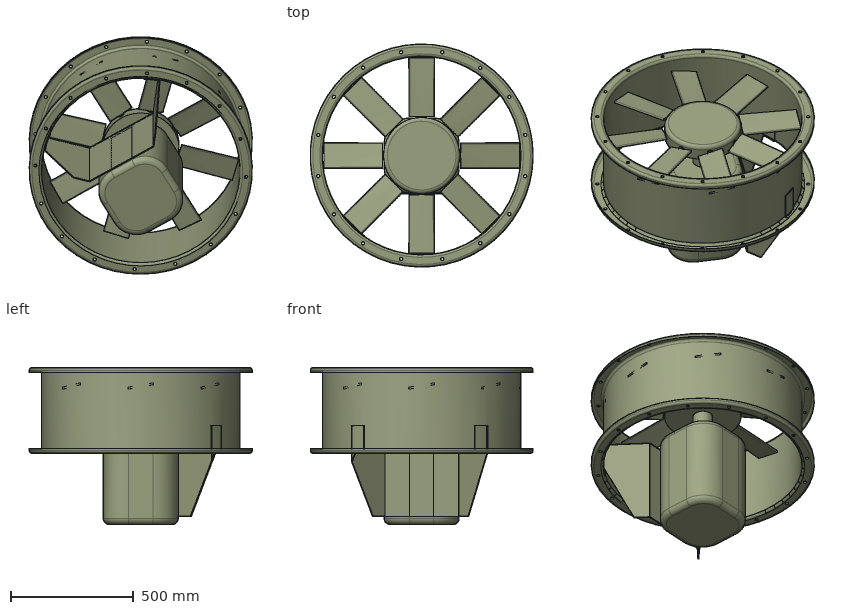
import cadquery as cq
import math

CASING_HEIGHT = 350.0
CASING_INNER_RADIUS = 404.0
SHEET = 1.2
LIP_OUTER_RADIUS = 455.0
LIP_HEIGHT = 20.0
BEND_INSIDE = 10.0
BEND_OUTSIDE = BEND_INSIDE + SHEET
CASING_OUTER_RADIUS = CASING_INNER_RADIUS + SHEET

BOLT_COUNT = 16
BOLT_DIAMETER = 12.0
BOLT_CIRCLE_RADIUS = 430.0

MOTOR_WIDTH = 306.0
MOTOR_FLAT_WIDTH = 98.0
MOTOR_TOP = 120.0
MOTOR_BOTTOM = -290.0
MOTOR_EDGE_RADIUS = 25.0

HUB_DIAMETER = 312.0
HUB_TOP = 315.0
HUB_HEIGHT = 64.0
HUB_EDGE_RADIUS = 16.0
SHAFT_DIAMETER = 80.8

BLADE_COUNT = 8
BLADE_CHORD = 107.0
BLADE_THICKNESS = 8.0
BLADE_ROOT_RADIUS = 159.0
BLADE_TIP_RADIUS = 399.0
BLADE_ROOT_PITCH = 15.0
BLADE_TIP_PITCH = 10.0
BLADE_STUB_DIAMETER = 24.0
BLADE_TIP_DROP = 8.0
BLADE_ROOT_HEIGHT = HUB_TOP - HUB_HEIGHT / 2
BLADE_TIP_HEIGHT = BLADE_ROOT_HEIGHT - BLADE_TIP_DROP

BRACKET_THICKNESS = 4.0
BRACKET_TOP = 113.0
BRACKET_BOTTOM = -257.0
LEFT_WING_ANGLE = 45.0
LEFT_WING_BOTTOM_REACH = 68.0
LEFT_WING_EDGE_SLOPE = 0.54
RIGHT_WING_ANGLE = 38.0
RIGHT_WING_BOTTOM_REACH = 64.0
RIGHT_WING_EDGE_SLOPE = 0.485
TAB_OUTER_RADIUS = 406.0
TAB_LENGTH = 63.0


def make_casing():
    """Revolve the bent sheet section: outer skin down one side, inner skin back up."""
    top = CASING_HEIGHT
    lip_inner_radius = LIP_OUTER_RADIUS - SHEET
    flat_outer = LIP_OUTER_RADIUS - BEND_OUTSIDE
    flat_inner = CASING_INNER_RADIUS + BEND_OUTSIDE
    section = (
        cq.Workplane("XZ")
        .moveTo(LIP_OUTER_RADIUS, top - LIP_HEIGHT)
        .lineTo(LIP_OUTER_RADIUS, top - BEND_OUTSIDE)
        .tangentArcPoint((flat_outer, top), relative=False)
        .lineTo(flat_inner, top)
        .tangentArcPoint((CASING_INNER_RADIUS, top - BEND_OUTSIDE), relative=False)
        .lineTo(CASING_INNER_RADIUS, BEND_OUTSIDE)
        .tangentArcPoint((flat_inner, 0), relative=False)
        .lineTo(flat_outer, 0)
        .tangentArcPoint((LIP_OUTER_RADIUS, BEND_OUTSIDE), relative=False)
        .lineTo(LIP_OUTER_RADIUS, LIP_HEIGHT)
        .lineTo(lip_inner_radius, LIP_HEIGHT)
        .lineTo(lip_inner_radius, BEND_OUTSIDE)
        .tangentArcPoint((flat_outer, SHEET), relative=False)
        .lineTo(flat_inner, SHEET)
        .tangentArcPoint((CASING_OUTER_RADIUS, BEND_OUTSIDE), relative=False)
        .lineTo(CASING_OUTER_RADIUS, top - BEND_OUTSIDE)
        .tangentArcPoint((flat_inner, top - SHEET), relative=False)
        .lineTo(flat_outer, top - SHEET)
        .tangentArcPoint((lip_inner_radius, top - BEND_OUTSIDE), relative=False)
        .lineTo(lip_inner_radius, top - LIP_HEIGHT)
        .close()
    )
    return section.revolve(360, (0, 0, 0), (0, 1, 0))


def make_bolt_holes():
    first_angle = 180.0 / BOLT_COUNT
    return (
        cq.Workplane("XY")
        .polarArray(BOLT_CIRCLE_RADIUS, first_angle, 360, BOLT_COUNT)
        .circle(BOLT_DIAMETER / 2)
        .extrude(CASING_HEIGHT)
    )


def make_motor():
    corner_radius = (MOTOR_WIDTH - MOTOR_FLAT_WIDTH) / 2
    return (
        cq.Workplane("XY")
        .workplane(offset=MOTOR_BOTTOM)
        .rect(MOTOR_WIDTH, MOTOR_WIDTH)
        .extrude(MOTOR_TOP - MOTOR_BOTTOM)
        .edges("|Z")
        .fillet(corner_radius)
        .faces("<Z or >Z")
        .edges()
        .fillet(MOTOR_EDGE_RADIUS)
    )


def make_hub():
    hub_bottom = HUB_TOP - HUB_HEIGHT
    hub = (
        cq.Workplane("XY")
        .workplane(offset=hub_bottom)
        .circle(HUB_DIAMETER / 2)
        .extrude(HUB_HEIGHT)
        .faces(">Z")
        .edges()
        .fillet(HUB_EDGE_RADIUS)
    )
    shaft = (
        cq.Workplane("XY")
        .workplane(offset=MOTOR_TOP)
        .circle(SHAFT_DIAMETER / 2)
        .extrude(hub_bottom - MOTOR_TOP)
    )
    return hub.union(shaft)


def blade_section(radius, height, pitch):
    """Round-ended blade section across the +X axis, its +Y edge raised by the pitch."""
    pitch_rad = math.radians(pitch)
    plane = cq.Plane(
        origin=(radius, 0, height),
        xDir=(0, math.cos(pitch_rad), math.sin(pitch_rad)),
        normal=(1, 0, 0),
    )
    return cq.Workplane(plane).slot2D(BLADE_CHORD, BLADE_THICKNESS).wires().val()


def make_blade():
    root = blade_section(BLADE_ROOT_RADIUS, BLADE_ROOT_HEIGHT, BLADE_ROOT_PITCH)
    tip = blade_section(BLADE_TIP_RADIUS, BLADE_TIP_HEIGHT, BLADE_TIP_PITCH)
    blade = cq.Workplane(cq.Solid.makeLoft([root, tip]))
    stub_start = HUB_DIAMETER / 2 - BLADE_STUB_DIAMETER / 2
    stub = (
        cq.Workplane("YZ")
        .workplane(offset=stub_start)
        .center(0, BLADE_ROOT_HEIGHT)
        .circle(BLADE_STUB_DIAMETER / 2)
        .extrude(BLADE_ROOT_RADIUS - stub_start)
    )
    return blade.union(stub)


def make_bracket(side, wing_angle, bottom_reach, edge_slope):
    """Bracket on the -Y motor face; side is -1 for the -X corner and +1 for the +X corner."""
    corner = MOTOR_WIDTH / 2
    foot_length = (MOTOR_WIDTH - MOTOR_FLAT_WIDTH) / 2
    foot = (
        cq.Workplane("XY")
        .workplane(offset=BRACKET_BOTTOM)
        .center(side * (corner - foot_length / 2), -corner - BRACKET_THICKNESS / 2)
        .rect(foot_length, BRACKET_THICKNESS)
        .extrude(BRACKET_TOP - BRACKET_BOTTOM)
    )

    angle = math.radians(wing_angle)
    outward = (side * math.sin(angle), -math.cos(angle), 0)
    fold = (side * (corner - BRACKET_THICKNESS / 2), -corner - BRACKET_THICKNESS / 2)
    fold_depth = fold[0] * outward[0] + fold[1] * outward[1]
    axis_offset = fold[0] * outward[1] - fold[1] * outward[0]
    wing_length = math.sqrt(TAB_OUTER_RADIUS**2 - axis_offset**2) - fold_depth
    slope_top = BRACKET_BOTTOM + (wing_length - bottom_reach) / edge_slope
    wing_plane = cq.Plane(
        origin=(fold[0], fold[1], 0),
        xDir=outward,
        normal=(outward[1], -outward[0], 0),
    )
    wing = (
        cq.Workplane(wing_plane)
        .moveTo(0, BRACKET_BOTTOM)
        .lineTo(bottom_reach, BRACKET_BOTTOM)
        .lineTo(wing_length, slope_top)
        .lineTo(wing_length, BRACKET_TOP)
        .lineTo(0, BRACKET_TOP)
        .close()
        .extrude(BRACKET_THICKNESS / 2, both=True)
    )

    tip = cq.Vector(fold[0], fold[1], 0) + cq.Vector(*outward) * wing_length
    radial = tip.normalized()
    tab_plane = cq.Plane(
        origin=(0, 0, 0),
        xDir=(-radial.y, radial.x, 0),
        normal=(radial.x, radial.y, 0),
    )
    taper_end = side * slope_top * edge_slope
    tab_end = -side * TAB_LENGTH
    tab_blank = (
        cq.Workplane(tab_plane)
        .moveTo(0, slope_top)
        .lineTo(taper_end, 0)
        .lineTo(tab_end, 0)
        .lineTo(tab_end, BRACKET_TOP)
        .lineTo(0, BRACKET_TOP)
        .close()
        .extrude(TAB_OUTER_RADIUS)
    )
    wall = (
        cq.Workplane("XY")
        .workplane(offset=slope_top)
        .circle(TAB_OUTER_RADIUS)
        .circle(TAB_OUTER_RADIUS - BRACKET_THICKNESS)
        .extrude(BRACKET_TOP - slope_top)
    )
    tab = tab_blank.intersect(wall)
    return foot.union(wing).union(tab)


def make_centre_plate():
    """Plate on the flat of the -Y motor face, joining the two bracket feet."""
    return (
        cq.Workplane("XY")
        .workplane(offset=BRACKET_BOTTOM)
        .center(0, -(MOTOR_WIDTH + BRACKET_THICKNESS) / 2)
        .rect(MOTOR_FLAT_WIDTH, BRACKET_THICKNESS)
        .extrude(BRACKET_TOP - BRACKET_BOTTOM)
    )


result = make_casing().cut(make_bolt_holes())
left_bracket = make_bracket(
    -1, LEFT_WING_ANGLE, LEFT_WING_BOTTOM_REACH, LEFT_WING_EDGE_SLOPE
)
right_bracket = make_bracket(
    1, RIGHT_WING_ANGLE, RIGHT_WING_BOTTOM_REACH, RIGHT_WING_EDGE_SLOPE
)
result = result.union(left_bracket).union(right_bracket)
result = result.union(make_motor()).union(make_hub())
blade = make_blade()
for index in range(BLADE_COUNT):
    blade_angle = index * 360.0 / BLADE_COUNT
    result = result.union(blade.rotate((0, 0, 0), (0, 0, 1), blade_angle))

result = result.union(make_centre_plate(), clean=False)